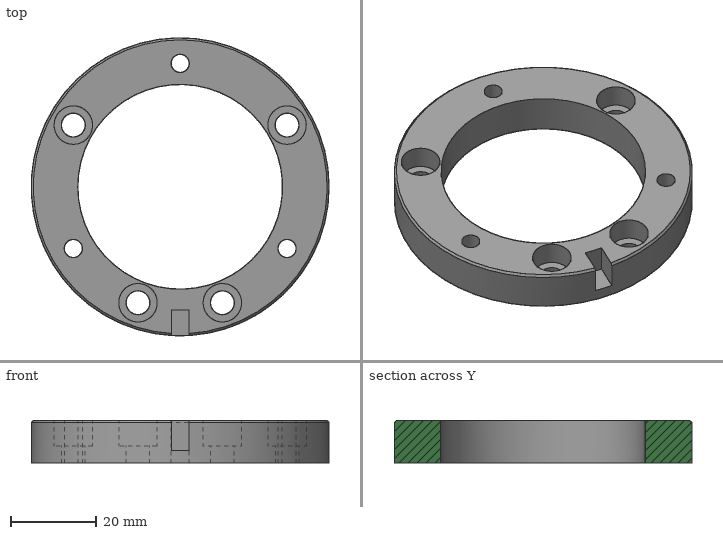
import cadquery as cq

outer_diameter = 70.0
bore_diameter = 48.0
thickness = 10.0
edge_chamfer = 0.5

pitch_radius = 29.0
plain_hole_diameter = 4.2
plain_hole_angles = [90, 210, 330]
screw_hole_diameter = 5.5
counterbore_diameter = 9.0
counterbore_depth = 6.0
screw_hole_angles = [30, 150, 250, 290]

slot_width = 4.1
slot_depth = 7.0
slot_inner_radius = pitch_radius


def make_ring():
    disc = cq.Workplane("XY").circle(outer_diameter / 2).extrude(thickness)
    disc = disc.faces(">Z").edges().chamfer(edge_chamfer)
    return disc.faces(">Z").workplane().hole(bore_diameter)


def drill_holes(body):
    top = cq.Workplane("XY").workplane(offset=thickness)
    for angle in plain_hole_angles:
        hole = top.polarArray(pitch_radius, angle, 360, 1).circle(plain_hole_diameter / 2)
        body = body.cut(hole.extrude(-thickness))
    for angle in screw_hole_angles:
        center = top.polarArray(pitch_radius, angle, 360, 1)
        body = body.cut(center.circle(screw_hole_diameter / 2).extrude(-thickness))
        body = body.cut(center.circle(counterbore_diameter / 2).extrude(-counterbore_depth))
    return body


def cut_slot(body):
    slot_length = outer_diameter / 2 - slot_inner_radius
    slot = (
        cq.Workplane("XY")
        .box(slot_width, slot_length, slot_depth, centered=(True, False, False))
        .translate((0, -outer_diameter / 2, thickness - slot_depth))
    )
    return body.cut(slot)


result = cut_slot(drill_holes(make_ring()))